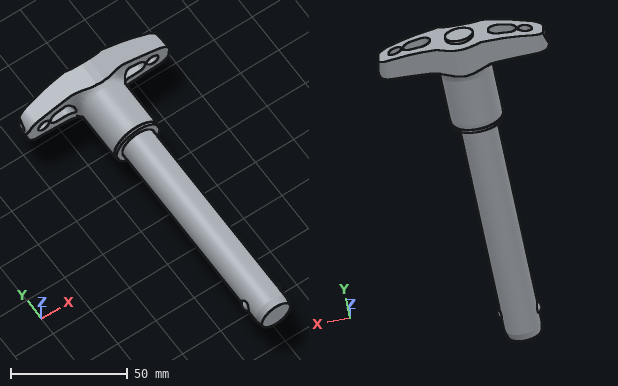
import cadquery as cq
import math


pin_length = 104.1
pin_radius = 8.3
tip_radius = 7.5
tip_taper_length = 3.5

ball_radius = 3.2
ball_offset = 6.5
ball_to_tip = 11.3

sleeve_radius = 11.7
sleeve_end_radius = 11.5
collar_radius = 11.3
collar_length = 1.5
taper_start = 3.7
flare_fillet = 5.8

handle_length = 74.9
handle_width = 24.7
flat_half = 2.0
end_round_radius = 7.2
middle_bottom = 31.0
end_bottom = 29.7
end_edge_radius = 1.3
end_slope_inset = 1.3
crown_x = 9.6
crown_height = 42.0
dip_height = 40.6
brow_x = 25.7
brow_height = 40.2
end_top = 37.9

button_radius = 6.1
button_top = 42.1

small_hole_x = 28.5
small_hole_radius = 2.9
lobe_x = 17.0
lobe_radius = 4.2
slot_end_x = 21.0
slot_end_radius = 3.8

half_length = handle_length / 2
half_width = handle_width / 2


def outline_plane():
    """XZ plane at the shoulder, facing -Y; a negative extrusion goes toward +Y."""
    return cq.Workplane("XZ")


def handle_outline():
    """Tapered bar outline whose straight sides are tangent to full-round ends."""
    center_x = half_length - end_round_radius
    run = center_x - flat_half
    tangent_angle = (
        math.pi
        - math.atan2(half_width, run)
        - math.acos(end_round_radius / math.hypot(run, half_width))
    )
    tangent_x = center_x + end_round_radius * math.cos(tangent_angle)
    tangent_z = end_round_radius * math.sin(tangent_angle)
    return (
        outline_plane()
        .moveTo(-flat_half, half_width)
        .lineTo(flat_half, half_width)
        .lineTo(tangent_x, tangent_z)
        .threePointArc((half_length, 0), (tangent_x, -tangent_z))
        .lineTo(flat_half, -half_width)
        .lineTo(-flat_half, -half_width)
        .lineTo(-tangent_x, -tangent_z)
        .threePointArc((-half_length, 0), (-tangent_x, tangent_z))
        .close()
        .extrude(-button_top)
    )


def handle_profile():
    """Arched bar with a dip between two crowns, wide enough to hold the whole flare."""
    end_top_x = half_length - end_slope_inset
    end_low_y = end_bottom + end_edge_radius
    end_low_x = half_length - end_edge_radius
    edge_mid_x = end_low_x + end_edge_radius * math.sqrt(0.5)
    edge_mid_y = end_low_y - end_edge_radius * math.sqrt(0.5)
    return (
        cq.Workplane("XY")
        .moveTo(-crown_x, crown_height)
        .threePointArc((0, dip_height), (crown_x, crown_height))
        .threePointArc((brow_x, brow_height), (end_top_x, end_top))
        .lineTo(half_length, end_low_y)
        .threePointArc((edge_mid_x, edge_mid_y), (end_low_x, end_bottom))
        .threePointArc((0, middle_bottom), (-end_low_x, end_bottom))
        .threePointArc((-edge_mid_x, edge_mid_y), (-half_length, end_low_y))
        .lineTo(-end_top_x, end_top)
        .threePointArc((-brow_x, brow_height), (-crown_x, crown_height))
        .close()
        .extrude(handle_width, both=True)
    )


def sleeve():
    """Sleeve reaching up into the handle, narrowing slightly above the collar."""
    return (
        cq.Workplane("XY")
        .moveTo(0, collar_length)
        .lineTo(sleeve_end_radius, collar_length)
        .lineTo(sleeve_radius, taper_start)
        .lineTo(sleeve_radius, middle_bottom)
        .lineTo(0, middle_bottom)
        .close()
        .revolve(360, (0, 0), (0, 1))
    )


def flared_handle():
    """Handle with a fillet spreading from the sleeve, trimmed to the tapered outline."""
    blank = handle_profile().union(sleeve())
    flared = blank.edges("%BSPLINE").fillet(flare_fillet)
    return flared.intersect(handle_outline())


def arm_holes(side):
    """Round hole and tapered slot through one arm; side is -1 or 1."""
    lobe_center = side * lobe_x
    slot_center = side * slot_end_x
    lean = (lobe_radius - slot_end_radius) / (slot_end_x - lobe_x)
    rise = math.sqrt(1 - lean**2)
    lobe_tangent_x = lobe_center + side * lobe_radius * lean
    lobe_tangent_z = lobe_radius * rise
    slot_tangent_x = slot_center + side * slot_end_radius * lean
    slot_tangent_z = slot_end_radius * rise
    slot = (
        outline_plane()
        .moveTo(lobe_tangent_x, -lobe_tangent_z)
        .threePointArc((lobe_center - side * lobe_radius, 0), (lobe_tangent_x, lobe_tangent_z))
        .lineTo(slot_tangent_x, slot_tangent_z)
        .threePointArc((slot_center + side * slot_end_radius, 0), (slot_tangent_x, -slot_tangent_z))
        .close()
        .extrude(-button_top)
    )
    hole = outline_plane().center(side * small_hole_x, 0).circle(small_hole_radius).extrude(-button_top)
    return slot.union(hole)


def pin():
    """Pin with its tapered tip, and the collar under the sleeve."""
    return (
        cq.Workplane("XY")
        .moveTo(0, -pin_length)
        .lineTo(tip_radius, -pin_length)
        .lineTo(pin_radius, -pin_length + tip_taper_length)
        .lineTo(pin_radius, 0)
        .lineTo(collar_radius, 0)
        .lineTo(collar_radius, collar_length)
        .lineTo(0, collar_length)
        .close()
        .revolve(360, (0, 0), (0, 1))
    )


def button():
    """Round release button standing in the dip of the handle."""
    height = button_top - middle_bottom
    return outline_plane().workplane(offset=-middle_bottom).circle(button_radius).extrude(-height)


def ball(side):
    """Locking ball near the tip; side is -1 or 1."""
    center = (side * ball_offset, ball_to_tip - pin_length, 0)
    return cq.Workplane("XY").sphere(ball_radius).translate(center)


handle = flared_handle()
for side in (-1, 1):
    handle = handle.cut(arm_holes(side))

result = handle.union(pin()).union(button())
for side in (-1, 1):
    result = result.union(ball(side))